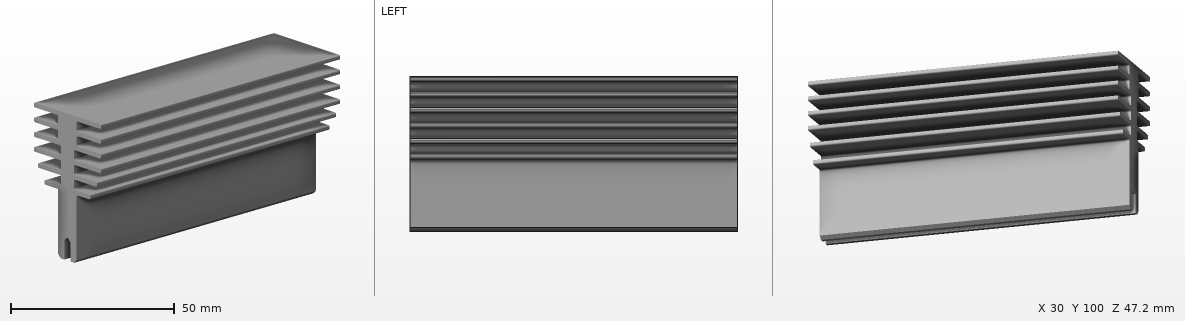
import cadquery as cq

length = 100.0
height = 47.2
width = 30.0

fin_thickness = 1.5
fin_widths = [width, width, width, width, 26.4, 20.4]
fin_stack_height = 25.2
fin_pitch = (fin_stack_height - fin_thickness) / (len(fin_widths) - 1)
tip_radius = 0.5
root_radius = 0.5

web_width = 8.2
neck_width = 5.7
neck_first_fin = 2
foot_chamfer = 1.1

slot_width = 2.8
slot_depth = 7.5

top_z = height / 2
bottom_z = -height / 2


def bar(bar_width, low_z, high_z):
    """Full-length bar centred on the YZ plane between two heights."""
    return cq.Workplane("XY").box(bar_width, length, high_z - low_z).translate((0, 0, (low_z + high_z) / 2))


def fin_centre(index):
    return top_z - fin_thickness / 2 - index * fin_pitch


def make_web():
    neck_high = fin_centre(neck_first_fin)
    neck_low = fin_centre(len(fin_widths) - 1)
    upper_web = bar(web_width, neck_high, top_z)
    neck = bar(neck_width, neck_low, neck_high)
    foot = bar(web_width, bottom_z, neck_low).edges("|Y and <Z").chamfer(foot_chamfer)
    return upper_web.union(neck).union(foot)


def make_fin(index):
    centre = fin_centre(index)
    fin = bar(fin_widths[index], centre - fin_thickness / 2, centre + fin_thickness / 2)
    return fin.edges("|Y").fillet(tip_radius)


def root_edges(body):
    """Lengthwise edges where the fins meet the web or the neck."""
    low_z = top_z - fin_stack_height - root_radius
    margin = root_radius
    root_zone = cq.selectors.BoxSelector(
        (-web_width / 2 - margin, -length, low_z),
        (web_width / 2 + margin, length, top_z - margin),
    )
    return body.edges("|Y").edges(root_zone)


def make_slot():
    half_width = slot_width / 2
    straight_top = bottom_z + slot_depth - half_width
    return (
        cq.Workplane("XZ")
        .moveTo(-half_width, bottom_z)
        .lineTo(-half_width, straight_top)
        .lineTo(0, bottom_z + slot_depth)
        .lineTo(half_width, straight_top)
        .lineTo(half_width, bottom_z)
        .close()
        .extrude(length / 2, both=True)
    )


body = make_web()
for fin_index in range(len(fin_widths)):
    body = body.union(make_fin(fin_index))

body = root_edges(body).fillet(root_radius)
result = body.cut(make_slot())